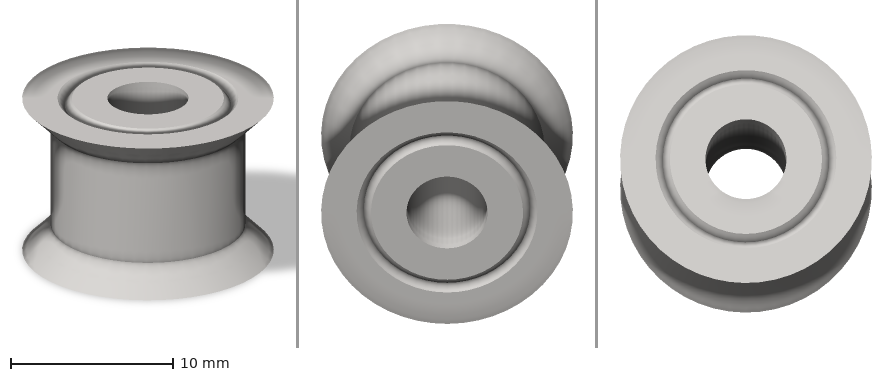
import cadquery as cq

flange_radius = 7.75
drum_radius = 6.0
height = 10.2
bore_radius = 2.5

groove_outer_radius = 5.56
groove_inner_radius = 4.68
groove_mid_radius = (groove_outer_radius + groove_inner_radius) / 2
groove_depth = (groove_outer_radius - groove_inner_radius) / 2

flange_height = flange_radius - drum_radius

half_section = [
    (bore_radius, 0),
    (groove_inner_radius, 0),
    (groove_mid_radius, groove_depth),
    (groove_outer_radius, 0),
    (flange_radius, 0),
    (drum_radius, flange_height),
    (drum_radius, height - flange_height),
    (flange_radius, height),
    (groove_outer_radius, height),
    (groove_mid_radius, height - groove_depth),
    (groove_inner_radius, height),
    (bore_radius, height),
]

result = cq.Workplane("XZ").polyline(half_section).close().revolve(360, (0, 0, 0), (0, 1, 0))